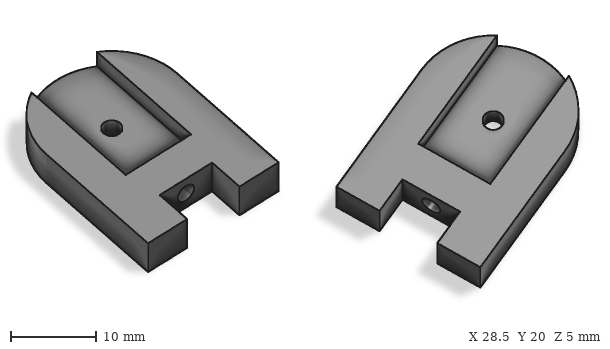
import cadquery as cq

length = 28.5
width = 20.0
thickness = 5.0
pocket_length = 18.5
notch_depth = 5.0
notch_width = 8.0
hole_diameter = 2.5

nose_radius = width / 2
back_x = length - nose_radius
pocket_width = width / 2
pocket_floor = thickness / 2
pocket_end_x = pocket_length - nose_radius
notch_front_x = back_x - notch_depth
wall_thickness = notch_front_x - pocket_end_x


def plate():
    """Flat plate with a semicircular nose at -X."""
    return (
        cq.Workplane("XY")
        .moveTo(back_x, -nose_radius)
        .lineTo(back_x, nose_radius)
        .lineTo(0, nose_radius)
        .threePointArc((-nose_radius, 0), (0, -nose_radius))
        .close()
        .extrude(thickness)
    )


def slot_cut(start_x, slot_length, slot_width, floor):
    """Box running along X, centred on Y, from the floor to the top face."""
    return (
        cq.Workplane("XY", origin=(start_x, 0, floor))
        .box(slot_length, slot_width, thickness - floor, centered=(False, True, False))
    )


pocket = slot_cut(-nose_radius, pocket_length, pocket_width, pocket_floor)
notch = slot_cut(notch_front_x, notch_depth, notch_width, 0)

floor_hole = cq.Workplane("XY").circle(hole_diameter / 2).extrude(thickness)

wall_hole = (
    cq.Workplane("YZ", origin=(pocket_end_x, 0, thickness / 2))
    .circle(hole_diameter / 2)
    .extrude(wall_thickness)
)

result = plate().cut(pocket).cut(notch).cut(floor_hole).cut(wall_hole)